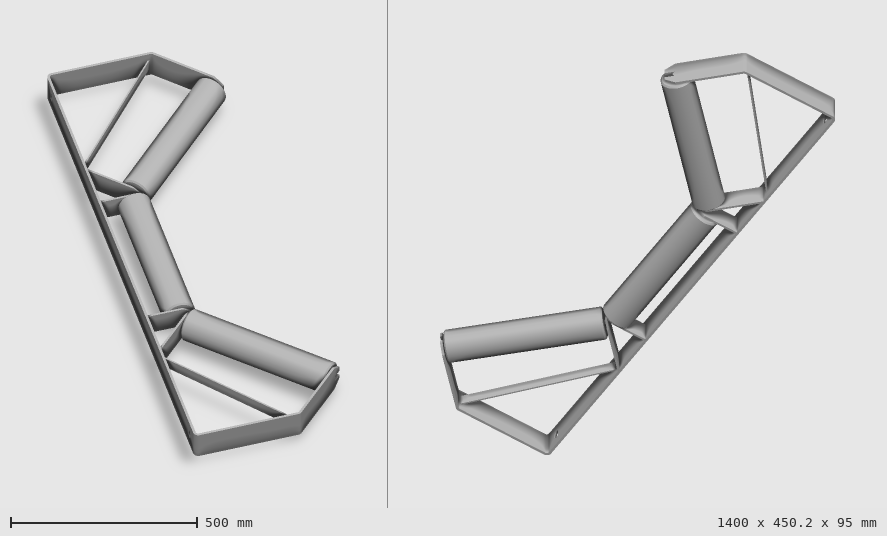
import cadquery as cq
import math

frame_length = 1400.0
frame_height = 80.0
strip_thickness = 7.0
bend_radius = 14.0
wall_height = 295.0
arm_reach = 155.0
arm_chamfer_length = 30.0
arm_chamfer_height = 20.0

mount_slot_x = 651.0
mount_slot_width = 17.0
mount_slot_length = 25.0

bracket_thickness = 6.0
bracket_height = 63.0
bracket_upright_x = 218.0
bracket_peak_y = 130.0
slope_line_y = 360.0
bracket_chamfer_length = 21.0
bracket_chamfer_height = 14.0

brace_thickness = 4.0
brace_height = 32.0
brace_foot_x = 365.0
brace_head_y = 287.0

roller_diameter = 90.0
roller_length = 433.0
roller_edge_chamfer = 4.0
shaft_diameter = 17.0
slot_opening = 56.0
slot_overrun = 3.0
center_roller_y = 102.0
side_roller_line = 137.0
trough_angle = 45.0
side_roller_rise = 5.0

half_length = frame_length / 2
half_inside = half_length - strip_thickness
bracket_middle_z = bracket_height / 2
slope_factor = 1 / math.cos(math.radians(trough_angle))
leg_width = bracket_thickness * slope_factor
arm_line_y = half_length + wall_height
slope_inner_y = slope_line_y - leg_width
side_roller_offset = (arm_line_y + slope_inner_y) / 2
side_roller_x = (side_roller_offset + side_roller_line) / 2
side_roller_y = (side_roller_offset - side_roller_line) / 2
side_roller_z = bracket_middle_z + side_roller_rise / 2
side_roller_tilt = math.degrees(math.asin(side_roller_rise / roller_length))
side_shaft_length = (arm_line_y - slope_inner_y) / slope_factor
center_shaft_length = 2 * (bracket_upright_x + bracket_thickness)


def mirrored_pair(left_half):
    return left_half.union(left_half.mirror("YZ"))


def place_left(local):
    """Move a shape built along X about the origin to the tilted axis of the left roller."""
    tilted = local.rotate((0, 0, 0), (0, 1, 0), side_roller_tilt)
    turned = tilted.rotate((0, 0, 0), (0, 0, 1), -trough_angle)
    return turned.translate((-side_roller_x, side_roller_y, side_roller_z))


def place_center(local):
    return local.translate((0, center_roller_y, bracket_middle_z))


def shaft_slots(shaft_length):
    """Cutter for the open-ended slots that hold both ends of a shaft along X."""
    end_length = (shaft_length - roller_length) / 2
    cut_length = end_length + slot_overrun
    cutter = cq.Workplane("XY")
    for side in (-1, 1):
        middle = side * (shaft_length - end_length + slot_overrun) / 2
        seat = cq.Workplane("YZ").circle(shaft_diameter / 2).extrude(cut_length / 2, both=True)
        mouth = cq.Workplane("XY").box(cut_length, slot_opening, shaft_diameter)
        cutter = cutter.union(seat.union(mouth.translate((0, slot_opening / 2, 0))).translate((middle, 0, 0)))
    return cutter


def bent_strip():
    """Half of the bent strip, left of the middle plane, with its chamfered arm tip."""
    corner_shift = strip_thickness * math.tan(math.radians(trough_angle / 2))
    tip_shift = strip_thickness / slope_factor
    inner_wall_height = wall_height - corner_shift
    tip_x = -half_length + arm_reach
    tip_y = wall_height + arm_reach
    strip = (
        cq.Workplane("XY")
        .moveTo(0, 0)
        .lineTo(-half_length, 0)
        .lineTo(-half_length, wall_height)
        .lineTo(tip_x, tip_y)
        .lineTo(tip_x + tip_shift, tip_y - tip_shift)
        .lineTo(-half_inside, inner_wall_height)
        .lineTo(-half_inside, strip_thickness)
        .lineTo(0, strip_thickness)
        .close()
        .extrude(frame_height)
    )
    for x, y in ((-half_length, 0), (-half_length, wall_height)):
        strip = strip.edges(cq.NearestToPointSelector((x, y, frame_height / 2))).fillet(bend_radius)
    for x, y in ((-half_inside, strip_thickness), (-half_inside, inner_wall_height)):
        corner = cq.NearestToPointSelector((x, y, frame_height / 2))
        strip = strip.edges(corner).fillet(bend_radius - strip_thickness)
    return strip.cut(arm_tip_corners(tip_x, tip_y))


def arm_tip_corners(tip_x, tip_y):
    """Triangular prisms that cut the lower and upper corner off the left arm tip."""
    across_arm = cq.Plane(origin=(tip_x, tip_y, 0), xDir=(-1, -1, 0), normal=(-1, 1, 0))
    corners = cq.Workplane("XY")
    for edge_z, inward in ((0, 1), (frame_height, -1)):
        corner = (
            cq.Workplane(across_arm)
            .polyline([
                (0, edge_z),
                (arm_chamfer_length, edge_z),
                (0, edge_z + inward * arm_chamfer_height),
            ])
            .close()
            .extrude(strip_thickness * 2, both=True)
        )
        corners = corners.union(corner)
    return corners


def bracket():
    """Left bracket: upright leg and sloping leg joined at the peak, with chamfered peak corners."""
    inner_x = -bracket_upright_x - bracket_thickness
    outline = [
        (-slope_line_y, 0),
        (bracket_peak_y - slope_line_y, bracket_peak_y),
        (-bracket_upright_x, bracket_peak_y),
        (-bracket_upright_x, 0),
        (inner_x, 0),
        (inner_x, inner_x + slope_inner_y),
        (-slope_inner_y, 0),
    ]
    legs = cq.Workplane("XY").polyline(outline).close().extrude(bracket_height)
    shoulder_y = bracket_peak_y - bracket_chamfer_length
    side_shape = [
        (0, 0),
        (shoulder_y, 0),
        (bracket_peak_y, bracket_chamfer_height),
        (bracket_peak_y, bracket_height - bracket_chamfer_height),
        (shoulder_y, bracket_height),
        (0, bracket_height),
    ]
    envelope = cq.Workplane("YZ").polyline(side_shape).close().extrude(-half_length)
    return legs.intersect(envelope)


def brace():
    """Left brace: straight flat bar from the base to the wall."""
    foot = (-brace_foot_x, strip_thickness / 2)
    head = (-half_inside - strip_thickness / 2, brace_head_y)
    run = head[0] - foot[0]
    rise = head[1] - foot[1]
    length = math.hypot(run, rise)
    bar = cq.Workplane("XY").box(length, brace_thickness, brace_height)
    turned = bar.rotate((0, 0, 0), (0, 0, 1), math.degrees(math.atan2(rise, run)))
    return turned.translate(((foot[0] + head[0]) / 2, (foot[1] + head[1]) / 2, frame_height / 2))


def mount_slots():
    return (
        cq.Workplane("XZ")
        .pushPoints([(-mount_slot_x, frame_height / 2), (mount_slot_x, frame_height / 2)])
        .slot2D(mount_slot_length, mount_slot_width, 90)
        .extrude(-strip_thickness)
    )


def make_frame():
    welded = mirrored_pair(bent_strip().union(bracket()).union(brace()))
    side_slots = place_left(shaft_slots(side_shaft_length))
    center_slots = place_center(shaft_slots(center_shaft_length))
    return welded.cut(mount_slots()).cut(mirrored_pair(side_slots)).cut(center_slots)


def make_roller(shaft_length):
    """Roller along X, centred on the origin, with shaft ends sticking out of both faces."""
    shell_start = cq.Workplane("YZ").workplane(offset=-roller_length / 2)
    shell = shell_start.circle(roller_diameter / 2).extrude(roller_length)
    shell = shell.edges().chamfer(roller_edge_chamfer)
    shaft = cq.Workplane("YZ").circle(shaft_diameter / 2).extrude(shaft_length / 2, both=True)
    return shell.union(shaft)


frame = make_frame()
center_roller = place_center(make_roller(center_shaft_length))
left_roller = place_left(make_roller(side_shaft_length))
side_rollers = [left_roller, left_roller.mirror("YZ")]

result = cq.Compound.makeCompound([
    frame.val(),
    center_roller.val(),
    *[roller.val() for roller in side_rollers],
])